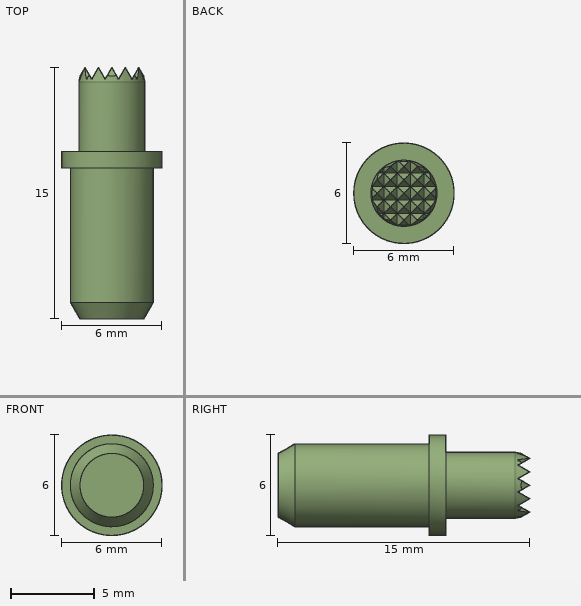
import cadquery as cq
import math

body_radius = 2.475
body_length = 9.0
tail_chamfer_length = 1.0
tail_radius = 1.9
collar_radius = 3.0
collar_length = 1.0
head_radius = 1.975
head_length = 5.0

rim_taper_length = 0.87
rim_radius = 1.79

tooth_pitch = 0.8
teeth_across = 5
groove_half_angle = 30.0

overall_length = body_length + collar_length + head_length
tail_y = -overall_length / 2
collar_y = tail_y + body_length
head_y = collar_y + collar_length
tip_y = head_y + head_length
groove_depth = tooth_pitch / 2 / math.tan(math.radians(groove_half_angle))


def make_pin():
    """Revolve the half profile (radius along X) about the Y axis."""
    return (
        cq.Workplane("XY")
        .moveTo(0, tail_y)
        .lineTo(tail_radius, tail_y)
        .lineTo(body_radius, tail_y + tail_chamfer_length)
        .lineTo(body_radius, collar_y)
        .lineTo(collar_radius, collar_y)
        .lineTo(collar_radius, head_y)
        .lineTo(head_radius, head_y)
        .lineTo(head_radius, tip_y - rim_taper_length)
        .lineTo(rim_radius, tip_y)
        .lineTo(0, tip_y)
        .close()
        .revolve(360, (0, 0, 0), (0, 1, 0))
    )


def make_groove(offset):
    """V groove running along Z across the head, centred at X = offset."""
    half_width = tooth_pitch / 2
    return (
        cq.Workplane("XY")
        .moveTo(offset - half_width, tip_y)
        .lineTo(offset, tip_y - groove_depth)
        .lineTo(offset + half_width, tip_y)
        .close()
        .extrude(head_radius, both=True)
    )


def cut_teeth(pin):
    """Cut the grooves between and outside the teeth in both directions."""
    for index in range(teeth_across + 1):
        groove = make_groove((index - teeth_across / 2) * tooth_pitch)
        crossing_groove = groove.rotate((0, 0, 0), (0, 1, 0), 90)
        pin = pin.cut(groove).cut(crossing_groove)
    return pin


result = cut_teeth(make_pin())